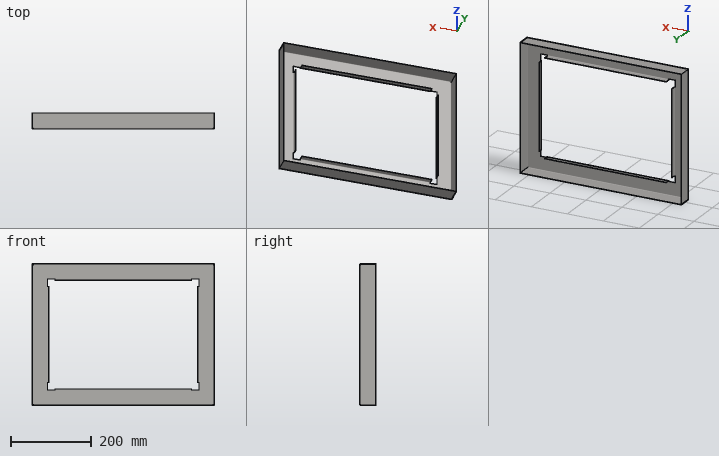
import cadquery as cq
import math

WIDTH = 450.0
DEPTH = 40.0
HEIGHT = 350.0

SHEET = 1.5
BEND_INSIDE = 1.55
BEND_OUTSIDE = BEND_INSIDE + SHEET
CORNER_RADIUS = 1.5

BORDER = 38.2
WINDOW_WIDTH = WIDTH - 2 * BORDER
WINDOW_HEIGHT = HEIGHT - 2 * BORDER

LIP_DEPTH = 15.0
LIP_END_GAP = 18.0

FRONT = -DEPTH / 2


def block(width, depth, height):
    """Box centred in X and Z, starting at the front and running back."""
    return cq.Workplane("XY").box(width, depth, height).translate((0, FRONT + depth / 2, 0))


def tray():
    """Face plate with the four outer flanges, open at the back."""
    outside = block(WIDTH, DEPTH, HEIGHT)
    outside = outside.edges("|Y").fillet(CORNER_RADIUS)
    outside = outside.faces("<Y").edges().fillet(BEND_OUTSIDE)
    inside = block(WIDTH - 2 * SHEET, DEPTH, HEIGHT - 2 * SHEET)
    inside = inside.faces("<Y").edges().fillet(BEND_INSIDE)
    return outside.cut(inside.translate((0, SHEET, 0)))


def lip(length):
    """Bent strip along Z: leaves the plate edge at X = 0 towards +X, then turns to run back."""
    diagonal = math.sqrt(0.5)
    outer_mid = (BEND_OUTSIDE * diagonal, BEND_OUTSIDE * (1 - diagonal))
    inner_mid = (BEND_INSIDE * diagonal, BEND_OUTSIDE - BEND_INSIDE * diagonal)
    profile = (
        cq.Workplane("XY")
        .threePointArc(outer_mid, (BEND_OUTSIDE, BEND_OUTSIDE))
        .lineTo(BEND_OUTSIDE, LIP_DEPTH)
        .lineTo(BEND_INSIDE, LIP_DEPTH)
        .lineTo(BEND_INSIDE, BEND_OUTSIDE)
        .threePointArc(inner_mid, (0, SHEET))
        .close()
    )
    return profile.extrude(length).translate((0, FRONT, -length / 2))


def lip_pair(across, along, turn):
    """Facing lips on two opposite window edges, turned about Y by the given angle."""
    strip = lip(along - 2 * LIP_END_GAP).translate((-across / 2, 0, 0))
    pair = strip.union(strip.mirror("YZ"))
    return pair.rotate((0, 0, 0), (0, 1, 0), turn)


result = (
    tray()
    .cut(block(WINDOW_WIDTH, DEPTH, WINDOW_HEIGHT))
    .union(lip_pair(WINDOW_WIDTH, WINDOW_HEIGHT, 0))
    .union(lip_pair(WINDOW_HEIGHT, WINDOW_WIDTH, 90))
)